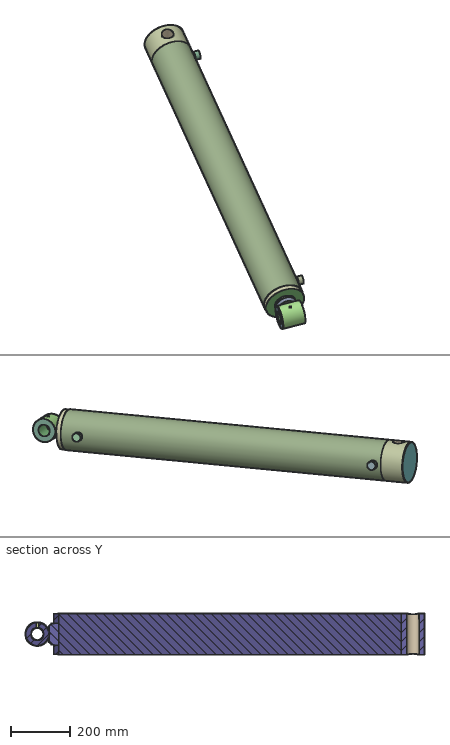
import cadquery as cq

overall_length = 1350.0
body_diameter = 140.0
body_radius = body_diameter / 2

cap_length = 80.0
pin_hole_diameter = 40.0
cap_chamfer = 2.0

barrel_end_x = 1238.0
gland_diameter = 138.0
gland_end_x = 1254.0

rod_diameter = 73.0
rod_tip_diameter = 54.0
rod_taper_start_x = 1262.0
rod_tip_x = 1270.0

eye_diameter = 81.0
eye_width = 81.0
eye_chamfer = 2.0
grease_hole_diameter = 7.0
eye_center_x = overall_length - eye_diameter / 2

port_diameter = 30.0
port_top_y = 90.0
port_positions_x = [105.0, 1173.0]
port_foot_diameter = 25.0
port_taper_start_y = 73.0


def cylinder_along_x(diameter, start_x, end_x):
    """Solid cylinder on the main axis between two X positions."""
    profile = cq.Workplane("YZ", origin=(start_x, 0, 0)).circle(diameter / 2)
    return profile.extrude(end_x - start_x)


def cylinder_along_y(diameter, center_x, start_y, end_y):
    """Solid cylinder parallel to Y, centered on Z = 0."""
    profile = cq.Workplane("XZ", origin=(center_x, end_y, 0)).circle(diameter / 2)
    return profile.extrude(end_y - start_y)


def make_cap():
    """End cap with a chamfered closed end and the pin hole through it along Z."""
    cap = cylinder_along_x(body_diameter, 0, cap_length).faces("<X").chamfer(cap_chamfer)
    pin_hole = (
        cq.Workplane("XY", origin=(cap_length / 2, 0, -body_radius))
        .circle(pin_hole_diameter / 2)
        .extrude(body_diameter)
    )
    return cap.cut(pin_hole)


def make_barrel():
    """Plain cylindrical barrel between the cap and the gland."""
    return cylinder_along_x(body_diameter, cap_length, barrel_end_x)


def make_gland():
    """Ring that closes the barrel and guides the rod."""
    gland = cylinder_along_x(gland_diameter, barrel_end_x, gland_end_x)
    return gland.cut(cylinder_along_x(rod_diameter, barrel_end_x, gland_end_x))


def eye_blank():
    """Outer cylinder of the rod eye."""
    return cylinder_along_y(eye_diameter, eye_center_x, -eye_width / 2, eye_width / 2)


def make_rod():
    """Rod through the gland, with a tapered tip that fits round the eye."""
    rod = (
        cq.Workplane("XY")
        .moveTo(barrel_end_x, 0)
        .lineTo(barrel_end_x, rod_diameter / 2)
        .lineTo(rod_taper_start_x, rod_diameter / 2)
        .lineTo(rod_tip_x, rod_tip_diameter / 2)
        .lineTo(rod_tip_x, 0)
        .close()
        .revolve(360, (0, 0, 0), (1, 0, 0))
    )
    return rod.cut(eye_blank())


def make_eye():
    """Rod eye chamfered on its -Y face, with a grease hole from the top into the pin bore."""
    pin_bore = cylinder_along_y(pin_hole_diameter, eye_center_x, -eye_width / 2, eye_width / 2)
    grease_hole = (
        cq.Workplane("XY", origin=(eye_center_x, 0, 0))
        .circle(grease_hole_diameter / 2)
        .extrude(eye_diameter / 2)
    )
    bored_eye = eye_blank().cut(pin_bore).faces("<Y").chamfer(eye_chamfer)
    return bored_eye.cut(grease_hole)


def make_port(center_x, barrel):
    """Oil port with a tapered foot, reaching to the axis and then trimmed to the round barrel."""
    port = (
        cq.Workplane("XY")
        .moveTo(center_x, 0)
        .lineTo(center_x + port_foot_diameter / 2, 0)
        .lineTo(center_x + port_foot_diameter / 2, body_radius)
        .lineTo(center_x + port_diameter / 2, port_taper_start_y)
        .lineTo(center_x + port_diameter / 2, port_top_y)
        .lineTo(center_x, port_top_y)
        .close()
        .revolve(360, (center_x, 0, 0), (center_x, 1, 0))
    )
    return port.cut(barrel)


cap = make_cap()
barrel = make_barrel()
gland = make_gland()
rod = make_rod()
eye = make_eye()
ports = [make_port(center_x, barrel) for center_x in port_positions_x]

result = cq.Compound.makeCompound(
    [cap.val(), barrel.val(), gland.val(), rod.val(), eye.val()] + [port.val() for port in ports]
)